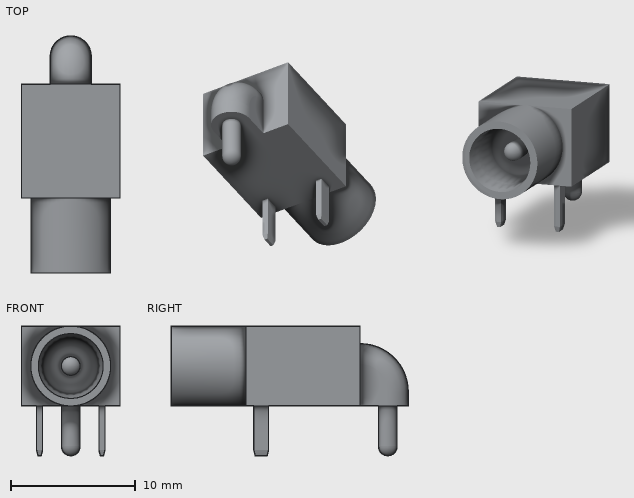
import cadquery as cq
import math

body_width = 7.9
body_length = 9.15
body_height = 6.4
axis_height = body_height / 2

barrel_radius = body_height / 2
barrel_length = 6.0
mouth_y = -barrel_length

mouth_radius = 2.6
throat_radius = 2.4
throat_depth = 2.0
socket_end_radius = 2.2
socket_end_depth = 4.2
floor_radius = 1.53
floor_fillet = socket_end_radius - floor_radius
floor_depth = socket_end_depth + floor_fillet

contact_radius = 0.75
contact_tip_depth = 2.5
pin_length = 4.0

elbow_radius = 1.65
elbow_reach = 3.87
elbow_top = 5.0
bend_radius = elbow_reach - elbow_radius
bend_height = elbow_top - elbow_reach
elbow_axis_y = body_length + bend_radius

blade_spacing = 5.0
blade_thickness = 0.5
blade_width = 1.2
blade_y = 1.22
blade_tip_length = 0.45
blade_tip_angle = 15

embed = 0.5


def make_body():
    return cq.Workplane("XY").box(body_width, body_length, body_height, centered=(True, False, False))


def make_barrel():
    barrel = cq.Workplane("XZ", origin=(0, embed, axis_height)).circle(barrel_radius)
    return barrel.extrude(barrel_length + embed)


def make_socket():
    """Two-stage tapered cavity ending in a rounded corner and a flat floor."""
    diagonal = floor_fillet * math.sqrt(0.5)
    profile = (
        cq.Workplane("XY", origin=(0, mouth_y, axis_height))
        .moveTo(0, 0)
        .lineTo(mouth_radius, 0)
        .lineTo(throat_radius, throat_depth)
        .lineTo(socket_end_radius, socket_end_depth)
        .threePointArc((floor_radius + diagonal, socket_end_depth + diagonal), (floor_radius, floor_depth))
        .lineTo(0, floor_depth)
        .close()
    )
    return profile.revolve(360, (0, 0), (0, 1))


def make_round_contact(length):
    """Cylinder rising from a hemispherical tip at the origin along +Z."""
    rod = cq.Workplane("XY", origin=(0, 0, contact_radius)).circle(contact_radius)
    rod = rod.extrude(length - contact_radius)
    ball = cq.Workplane("XY", origin=(0, 0, contact_radius)).sphere(contact_radius)
    return rod.union(ball)


def make_centre_contact():
    contact = make_round_contact(floor_depth - contact_tip_depth + embed)
    return contact.rotate((0, 0, 0), (1, 0, 0), -90).translate((0, mouth_y + contact_tip_depth, axis_height))


def make_solder_pin():
    return make_round_contact(pin_length + embed).translate((0, elbow_axis_y, -pin_length))


def make_elbow():
    column = cq.Workplane("XY", origin=(0, elbow_axis_y, 0)).circle(elbow_radius).extrude(bend_height)
    bend = (
        cq.Workplane("XY", origin=(0, elbow_axis_y, bend_height))
        .circle(elbow_radius)
        .revolve(90, (0, -bend_radius), (1, -bend_radius))
    )
    web = (
        cq.Workplane("YZ", origin=(-elbow_radius, 0, 0))
        .moveTo(body_length, 0)
        .lineTo(elbow_axis_y, 0)
        .lineTo(elbow_axis_y, bend_height)
        .radiusArc((body_length, bend_height + bend_radius), -bend_radius)
        .close()
        .extrude(2 * elbow_radius)
    )
    return web.union(column).union(bend)


def make_blade(x):
    shank_length = pin_length - blade_tip_length
    shank = (
        cq.Workplane("XY", origin=(x, blade_y, embed))
        .rect(blade_thickness, blade_width)
        .extrude(-shank_length - embed)
    )
    tip = (
        cq.Workplane("XY", origin=(x, blade_y, -shank_length))
        .rect(blade_thickness, blade_width)
        .extrude(-blade_tip_length, taper=blade_tip_angle)
    )
    return shank.union(tip)


result = make_body().union(make_barrel()).cut(make_socket())
result = result.union(make_centre_contact()).union(make_elbow()).union(make_solder_pin())
for side in (-1, 1):
    result = result.union(make_blade(side * blade_spacing / 2))